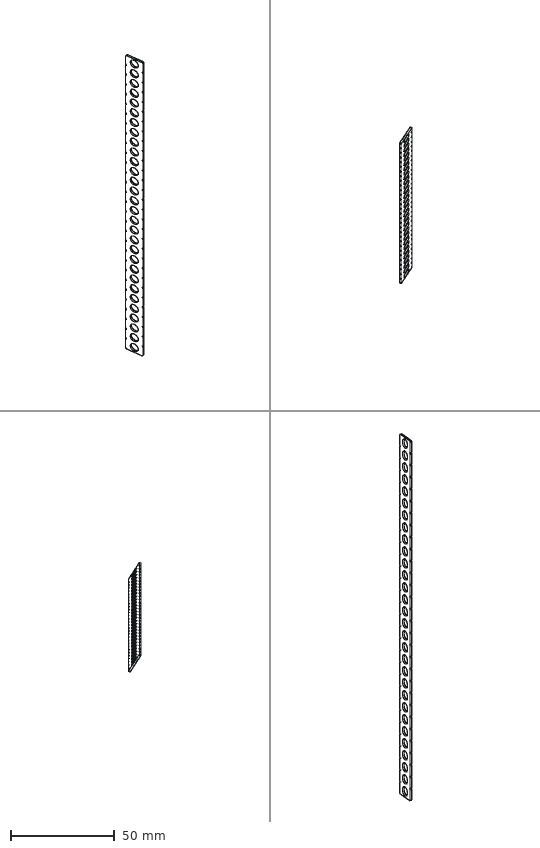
import cadquery as cq

pitch = 6.35
hole_count = 30
length = hole_count * pitch
width = 10.16
thickness = 0.97

hole_diameter = 4.62

notch_depth = 0.508
notch_opening = 2 * notch_depth


def make_strip():
    return cq.Workplane("XY").box(width, thickness, length)


def make_holes():
    return (
        cq.Workplane("XZ")
        .rarray(pitch, pitch, 1, hole_count)
        .circle(hole_diameter / 2)
        .extrude(thickness, both=True)
    )


def make_notches():
    return (
        cq.Workplane("XZ")
        .rarray(width, pitch, 2, hole_count + 1)
        .polygon(4, notch_opening)
        .extrude(thickness, both=True)
    )


result = make_strip().cut(make_holes()).cut(make_notches())